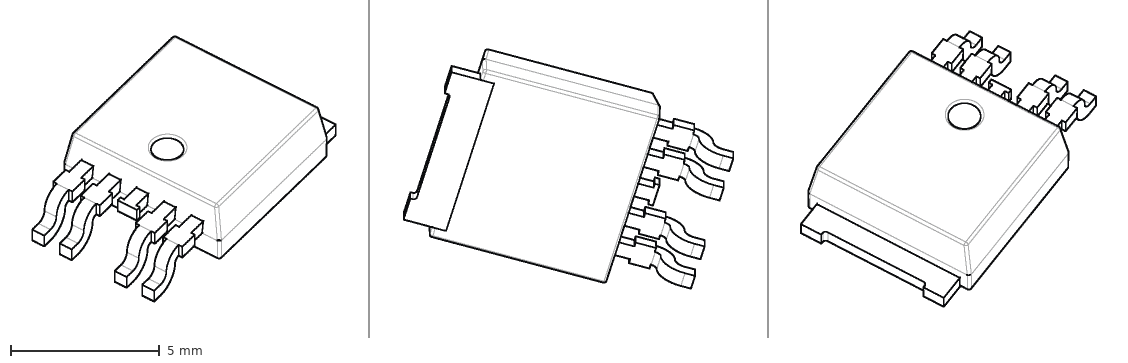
import cadquery as cq
import math

BODY_WIDTH = 6.5
BODY_LENGTH = 6.23
BODY_HEIGHT = 2.3
PARTING_HEIGHT = 0.9
SIDE_DRAFT = 10.0
END_DRAFT = 7.0
LOWER_DRAFT = 1.0
EDGE_RADIUS = 0.1

DIMPLE_DIAMETER = 1.1
DIMPLE_DEPTH = 0.1
DIMPLE_Y = -1.615

METAL_THICKNESS = 0.508
SEAT_DEPTH = 0.5

TAB_WIDTH = 5.72
TAB_REACH = 0.99
NOTCH_WIDTH = 4.08
NOTCH_DEPTH = 0.2
NOTCH_RADIUS = 0.12

LEAD_PITCH = 1.14
LEAD_WIDTH = 0.5
LEAD_REACH = 2.76
LEAD_TOP = 1.4
LEAD_DROP = 0.15
SHOULDER_WIDTH = 0.8
SHOULDER_START = 0.63
SHOULDER_END = 1.35
STUB_REACH = 0.80
UPPER_BEND_RADIUS = 0.2

LEAD_SLOTS = (-2, -1, 1, 2)

FRONT_Y = -BODY_LENGTH / 2
BACK_Y = BODY_LENGTH / 2
LEAD_BOTTOM = LEAD_TOP - METAL_THICKNESS


def inset(height, draft):
    """Sideways shift of a drafted face over a height."""
    return height * math.tan(math.radians(draft))


def box(width, y_start, y_end, z_bottom, height):
    """Block centred on X = 0 between two Y places."""
    middle = (0, (y_start + y_end) / 2, z_bottom)
    return cq.Workplane("XY", origin=middle).box(
        width, abs(y_end - y_start), height, centered=(True, True, False)
    )


def draft_outline(plane, width, upper_draft, lower_draft):
    """Upright section of the body, widest at the parting plane."""
    half_width = width / 2
    half_bottom = half_width - inset(PARTING_HEIGHT, lower_draft)
    half_top = half_width - inset(BODY_HEIGHT - PARTING_HEIGHT, upper_draft)
    return cq.Workplane(plane).polyline(
        [
            (-half_bottom, 0),
            (half_bottom, 0),
            (half_width, PARTING_HEIGHT),
            (half_top, BODY_HEIGHT),
            (-half_top, BODY_HEIGHT),
            (-half_width, PARTING_HEIGHT),
        ]
    ).close()


def make_body():
    """Block bounded by one outline along X and one along Y, with rounded edges."""
    end_outline = draft_outline("XZ", BODY_WIDTH, SIDE_DRAFT, 0)
    side_outline = draft_outline("YZ", BODY_LENGTH, END_DRAFT, LOWER_DRAFT)
    solid = end_outline.extrude(BODY_LENGTH, both=True).intersect(
        side_outline.extrude(BODY_WIDTH, both=True)
    )
    solid = solid.edges("not(#Z or |X or |Y)").fillet(EDGE_RADIUS)
    solid = solid.faces("<Z or >Z").edges().fillet(EDGE_RADIUS)
    return solid.cut(make_dimple())


def make_dimple():
    """Cutter whose wall flares out in a round to meet the top face."""
    floor_radius = DIMPLE_DIAMETER / 2
    floor_z = BODY_HEIGHT - DIMPLE_DEPTH
    rim_radius = floor_radius + DIMPLE_DEPTH
    flare = DIMPLE_DEPTH * math.sqrt(0.5)
    return (
        cq.Workplane("XZ", origin=(0, DIMPLE_Y, 0))
        .moveTo(0, floor_z)
        .lineTo(floor_radius, floor_z)
        .threePointArc((rim_radius - flare, floor_z + flare), (rim_radius, BODY_HEIGHT))
        .lineTo(0, BODY_HEIGHT)
        .close()
        .revolve(360, (0, 0, 0), (0, 1, 0))
    )


def make_tab():
    tab_end = BACK_Y + TAB_REACH
    plate = box(TAB_WIDTH, BACK_Y - SEAT_DEPTH, tab_end, 0, METAL_THICKNESS)
    notch_floor = tab_end - NOTCH_DEPTH
    notch = box(NOTCH_WIDTH, notch_floor, tab_end, 0, METAL_THICKNESS)
    notch = notch.edges("|Z and <Y").fillet(NOTCH_RADIUS)
    return plate.cut(notch)


def make_shank(shoulder_end):
    """Flat part of a lead: a narrow neck, then a wider shoulder."""
    shoulder_y = FRONT_Y - SHOULDER_START
    neck = box(LEAD_WIDTH, shoulder_y, FRONT_Y + SEAT_DEPTH, LEAD_BOTTOM, METAL_THICKNESS)
    shoulder = box(SHOULDER_WIDTH, FRONT_Y - shoulder_end, shoulder_y, LEAD_BOTTOM, METAL_THICKNESS)
    return neck.union(shoulder)


def make_lead():
    """Shank followed by an S-bend of two quarter turns and a flat foot."""
    foot_bottom = -LEAD_DROP
    foot_top = foot_bottom + METAL_THICKNESS
    foot_end = FRONT_Y - LEAD_REACH
    bend_start = FRONT_Y - SHOULDER_END

    upper_outer = UPPER_BEND_RADIUS + METAL_THICKNESS
    bend_height = LEAD_TOP - foot_top
    lower_inner = bend_height - upper_outer
    lower_outer = lower_inner + METAL_THICKNESS
    bend_end = bend_start - bend_height
    turn_z = LEAD_TOP - upper_outer

    outer_turn = (bend_start - upper_outer, turn_z)
    inner_turn = (bend_start - UPPER_BEND_RADIUS, turn_z)

    bend = (
        cq.Workplane("YZ", origin=(-LEAD_WIDTH / 2, 0, 0))
        .moveTo(bend_start, LEAD_TOP)
        .radiusArc(outer_turn, -upper_outer)
        .radiusArc((bend_end, foot_top), lower_inner)
        .lineTo(foot_end, foot_top)
        .lineTo(foot_end, foot_bottom)
        .lineTo(bend_end, foot_bottom)
        .radiusArc(inner_turn, -lower_outer)
        .radiusArc((bend_start, LEAD_BOTTOM), UPPER_BEND_RADIUS)
        .close()
        .extrude(LEAD_WIDTH)
    )
    return make_shank(SHOULDER_END).union(bend)


tab = make_tab()
stub = make_shank(STUB_REACH)
lead = make_lead()
leads = [lead.translate((slot * LEAD_PITCH, 0, 0)) for slot in LEAD_SLOTS]

body = make_body().cut(tab).cut(stub)
for placed_lead in leads:
    body = body.cut(placed_lead)

result = cq.Compound.makeCompound(
    [body.val(), tab.val(), stub.val(), *[placed_lead.val() for placed_lead in leads]]
)